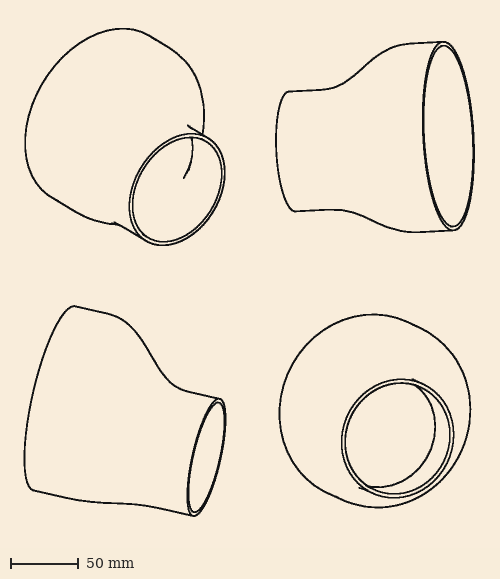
import cadquery as cq

length = 127.0
large_diameter = 139.7
small_diameter = 88.8
wall = 3.0
collar_length = 25.0
handle_ratio = 0.4
section_count = 13

transition_length = length - 2 * collar_length
small_collar_start = length - collar_length


def s_curve(t):
    """Point on a cubic Bezier from (0, 0) to (1, 1) that is level at both ends."""
    start_pull = 3 * t * (1 - t) ** 2
    end_pull = 3 * t**2 * (1 - t)
    along = start_pull * handle_ratio + end_pull * (1 - handle_ratio) + t**3
    across = end_pull + t**3
    return along, across


def section_circle(x, outer_diameter, inset):
    """Circle across the pipe at x, inset from an outer wall that touches the flush -Y side."""
    center_y = (outer_diameter - large_diameter) / 2
    radius = outer_diameter / 2 - inset
    plane = cq.Plane(origin=(x, center_y, 0), xDir=(0, 1, 0), normal=(1, 0, 0))
    return cq.Workplane(plane).circle(radius).val()


def collar(x, outer_diameter, inset):
    """Straight cylinder that starts at x."""
    circle = section_circle(x, outer_diameter, inset)
    return cq.Workplane(cq.Solid.extrudeLinear(circle, [], cq.Vector(collar_length, 0, 0)))


def transition(inset):
    """Smooth S-shaped body between the two collars."""
    circles = []
    for i in range(section_count):
        along, across = s_curve(i / (section_count - 1))
        x = collar_length + along * transition_length
        outer_diameter = large_diameter + across * (small_diameter - large_diameter)
        circles.append(section_circle(x, outer_diameter, inset))
    return cq.Workplane(cq.Solid.makeLoft(circles))


def reducer_body(inset):
    """Filled reducer shape, with every section shrunk by the inset."""
    large_collar = collar(0, large_diameter, inset)
    small_collar = collar(small_collar_start, small_diameter, inset)
    return large_collar.union(transition(inset)).union(small_collar)


outside = reducer_body(0)
bore = reducer_body(wall)
result = cq.Workplane(outside.cut(bore).solids().val())